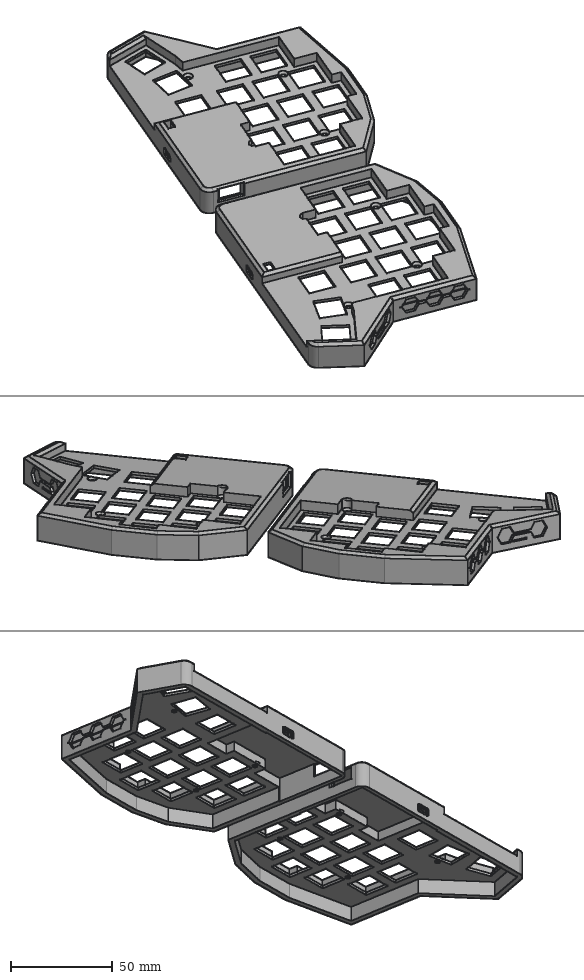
import cadquery as cq
import math

total_length = 274.82
total_depth = 105.22
case_height = 14.6
key_pitch = 19.05
half_pitch = key_pitch / 2

wall = 3.0
plate_top = 9.4
plate_thickness = 1.5
plate_bottom = plate_top - plate_thickness
block_wall = 2.4
roof_thickness = 1.4
edge_chamfer_width = 1.75
edge_chamfer_height = 1.35
corner_radius = 5.0
overrun = 1.0

middle_column_x = -57.8
column_x = [middle_column_x + (i - 2) * key_pitch for i in range(5)]
top_row_y = 90.75
ring_stagger = 5.0
outer_stagger = 17.0
column_top_y = [
    top_row_y - outer_stagger,
    top_row_y - ring_stagger,
    top_row_y,
    top_row_y - ring_stagger,
    top_row_y - outer_stagger,
]
column_rows = [2, 3, 3, 3, 2]
column_bottom_y = [y - (n - 1) * key_pitch for y, n in zip(column_top_y, column_rows)]
switch_size = 14.0

inner_thumb = (column_x[1], 25.3, 0.0)
middle_thumb = (-98.5, 23.2, 10.0)
outer_thumb = (-119.2, 17.4, 20.0)

rim = 4.8
left_x = column_x[0] - half_pitch - rim
right_x = column_x[4] + half_pitch + rim
tip_x = -total_length / 2
tip_y = 24.75
tip_tilt = math.radians(outer_thumb[2])
front_left_x = tip_x + tip_y * math.tan(tip_tilt)
waist_y = tip_y + (left_x - tip_x)
shoulder_y = 96.7
outline = [
    (front_left_x, 0),
    (right_x, 0),
    (right_x, 87.2),
    (-26.5, 100.6),
    (-46.6, total_depth),
    (-70.0, total_depth),
    (left_x, shoulder_y),
    (left_x, waist_y),
    (tip_x, tip_y),
]

cell_x = [column_x[0] - half_pitch + i * key_pitch for i in range(6)]
cell_top = [y + half_pitch for y in column_top_y]
cell_bottom = [y - half_pitch for y in column_bottom_y]
block_left = cell_x[2]
thumb_bend_x = -111.8

screw_hole_diameter = 2.4
screw_head_diameter = 4.8
screw_gap_y = column_top_y[1] - half_pitch
screw_offset_x = 25.8
screws = [
    (middle_column_x - screw_offset_x, screw_gap_y),
    (middle_column_x + screw_offset_x, screw_gap_y),
    (middle_column_x + screw_offset_x, cell_bottom[3]),
    (-100.2, 32.3),
]

reset_size = (5.8, 3.8)
reset_center = (-62.2, 6.0)
port_center = (-51.4, 5.0)
port_recess = (8.2, 4.2)
port_recess_depth = 1.0
port_corner = 1.3
port_hole = (6.4, 2.8)
window_step_y = 1.3
window_step_z = 0.4
window_recess_depth = 1.5
window_y = (7.6, 21.8)
window_z = (5.8, 13.6)

hexagon_height = 8.3
hexagon_diameter = hexagon_height / math.cos(math.radians(30))
hexagon_depth = 1.6
hexagon_z = 7.7
link_height = 1.6
line_height = 0.2
line_depth = 0.4
line_overhang = 0.8
side_hexagons = [9.4, 22.4, 35.4]
slope_hexagons = [7.9, 26.3]
bar_size = (8.0, 0.8)
bar_center = (15.6, -3.6)


def prism(points, bottom, top):
    """Upright solid over a closed outline between two heights."""
    return cq.Workplane("XY", origin=(0, 0, bottom)).polyline(points).close().extrude(top - bottom)


def tilted_point(key, across, along):
    """Point given in the tilted frame of a thumb key."""
    x, y, tilt = key
    a = math.radians(tilt)
    return (
        x + across * math.cos(a) - along * math.sin(a),
        y + across * math.sin(a) + along * math.cos(a),
    )


def y_on_cell_top(key, x):
    """Height along Y of the upper cell edge of a thumb key at a given X."""
    edge_x, edge_y = tilted_point(key, 0, half_pitch)
    return edge_y + (x - edge_x) * math.tan(math.radians(key[2]))


rim_head = tilted_point(outer_thumb, -half_pitch, half_pitch)
rim_foot = tilted_point(outer_thumb, -half_pitch, -key_pitch)


def tapered_body():
    """Solid case: straight sides under a sloped edge that runs round the top."""
    shoulder = case_height - edge_chamfer_height
    body = prism(outline, 0, shoulder)
    front = cq.selectors.BoxSelector((tip_x, -overrun, -overrun), (0, overrun, case_height))
    body = body.edges("|Z").edges(front).fillet(corner_radius)
    taper = math.degrees(math.atan(edge_chamfer_width / edge_chamfer_height))
    top = body.faces(">Z").wires().toPending().extrude(edge_chamfer_height, taper=taper, combine=False)
    return body.union(top)


def key_recess():
    """Stepped recess over the keys, open to the front below the thumb keys."""
    points = []
    for i in range(5):
        points.append((cell_x[i], cell_top[i]))
        points.append((cell_x[i + 1], cell_top[i]))
    for i in (4, 3, 2):
        points.append((cell_x[i + 1], cell_bottom[i]))
        points.append((cell_x[i], cell_bottom[i]))
    points.append((block_left, -overrun))
    points.append(rim_foot)
    points.append(rim_head)
    points.append((thumb_bend_x, y_on_cell_top(outer_thumb, thumb_bend_x)))
    points.append((cell_x[0], y_on_cell_top(middle_thumb, cell_x[0])))
    return prism(points, plate_top, case_height + overrun)


def edge_wedge(start, end):
    """Cutter that slopes the top edge on the right of the line from start to end."""
    length = math.hypot(end[0] - start[0], end[1] - start[1])
    direction = ((end[0] - start[0]) / length, (end[1] - start[1]) / length, 0)
    right = (direction[1], -direction[0], 0)
    plane = cq.Plane(origin=(*start, case_height), xDir=right, normal=direction)
    section = [(0, 0), (edge_chamfer_width, 0), (0, edge_chamfer_height)]
    return cq.Workplane(plane).polyline(section).close().extrude(length)


def cavity():
    """Hollow under the plate and, higher, inside the controller block. Open at the bottom."""
    low = cq.Workplane("XY").polyline(outline).close().offset2D(-wall, "intersection")
    low = low.extrude(plate_bottom)
    block = [
        (block_left, 0),
        (right_x, 0),
        (right_x, cell_bottom[4]),
        (cell_x[4], cell_bottom[4]),
        (cell_x[4], cell_bottom[3]),
        (cell_x[3], cell_bottom[3]),
        (cell_x[3], cell_bottom[2]),
        (block_left, cell_bottom[2]),
    ]
    high = cq.Workplane("XY").polyline(block).close().offset2D(-block_wall, "intersection")
    high = high.extrude(case_height - roof_thickness)
    return low.union(high)


def switch_holes():
    """Square through holes for the column keys and the tilted thumb keys."""
    keys = [inner_thumb, middle_thumb, outer_thumb]
    for x, y, count in zip(column_x, column_top_y, column_rows):
        keys += [(x, y - row * key_pitch, 0.0) for row in range(count)]
    holes = cq.Workplane("XY")
    for x, y, tilt in keys:
        hole = cq.Workplane("XY").box(switch_size, switch_size, case_height, centered=(True, True, False))
        holes = holes.add(hole.rotate((0, 0, 0), (0, 0, 1), tilt).translate((x, y, 0)))
    return holes.combine()


def screw_holes():
    """Countersunk holes with clear room for the heads above the plate."""
    hole_radius = screw_hole_diameter / 2
    head_radius = screw_head_diameter / 2
    sink = head_radius - hole_radius
    section = [
        (0, 0),
        (hole_radius, 0),
        (hole_radius, plate_top - sink),
        (head_radius, plate_top),
        (head_radius, case_height),
        (0, case_height),
    ]
    hole = cq.Workplane("XZ").polyline(section).close().revolve(360, (0, 0, 0), (0, 1, 0))
    holes = cq.Workplane("XY")
    for x, y in screws:
        holes = holes.add(hole.translate((x, y, 0)))
    return holes.combine()


def window_box(step_y, step_z, depth):
    """Rectangular cut into the inner wall, stepped in from the edges of the window recess."""
    low_y = window_y[0] + step_y
    low_z = window_z[0] + step_z
    width = window_y[1] - step_y - low_y
    height = window_z[1] - step_z - low_z
    box = cq.Workplane("XY").box(2 * depth, width, height, centered=(True, False, False))
    return box.translate((right_x, low_y, low_z))


def block_openings():
    """Reset slot in the roof, port in the front wall and window in the inner wall."""
    reset = cq.Workplane("XY").box(*reset_size, 3 * case_height).translate((*reset_center, 0))
    front = cq.Workplane("XZ").center(*port_center)
    recess = front.rect(*port_recess).extrude(-port_recess_depth).edges("|Y").fillet(port_corner)
    hole = front.rect(*port_hole).extrude(-wall - overrun).edges("|Y").fillet(port_corner)
    window = window_box(0, 0, window_recess_depth)
    window = window.union(window_box(window_step_y, window_step_z, wall + overrun))
    return reset.union(recess).union(hole).union(window)


def wall_plane(start, end):
    """Workplane on a wall of the left side: X runs from start to end, Z points out of the case."""
    run = math.hypot(end[0] - start[0], end[1] - start[1])
    along = ((end[0] - start[0]) / run, (end[1] - start[1]) / run, 0)
    outward = (along[1], -along[0], 0)
    return cq.Workplane(cq.Plane(origin=(*start, hexagon_z), xDir=along, normal=outward))


def hexagon_row(face, places):
    """Row of hexagonal pockets joined by a straight slot."""
    row = face.pushPoints([(p, 0) for p in places]).polygon(6, hexagon_diameter).extrude(-hexagon_depth)
    middle = (places[0] + places[-1]) / 2
    link = face.center(middle, 0).rect(places[-1] - places[0], link_height).extrude(-hexagon_depth)
    return row.union(link)


def middle_line(face, places):
    """Fine groove along the middle of a hexagon row."""
    middle = (places[0] + places[-1]) / 2
    length = places[-1] - places[0] + hexagon_diameter + 2 * line_overhang
    return face.center(middle, 0).rect(length, line_height).extrude(-hexagon_depth - line_depth)


def left_case():
    """Left case with its openings and wall ornaments."""
    body = tapered_body().cut(key_recess()).cut(cavity())
    body = body.cut(edge_wedge((block_left, 0), (block_left, cell_bottom[2])))
    body = body.cut(edge_wedge(rim_head, rim_foot))
    body = body.cut(switch_holes()).cut(screw_holes()).cut(block_openings())
    side = wall_plane((left_x, shoulder_y), (left_x, waist_y))
    slope = wall_plane((left_x, waist_y), (tip_x, tip_y))
    body = body.cut(hexagon_row(side, side_hexagons)).cut(middle_line(side, side_hexagons))
    body = body.cut(hexagon_row(slope, slope_hexagons))
    body = body.cut(slope.center(*bar_center).rect(*bar_size).extrude(-hexagon_depth))
    return body


left = left_case()
right = left.mirror("YZ")
result = cq.Compound.makeCompound([left.val(), right.val()])